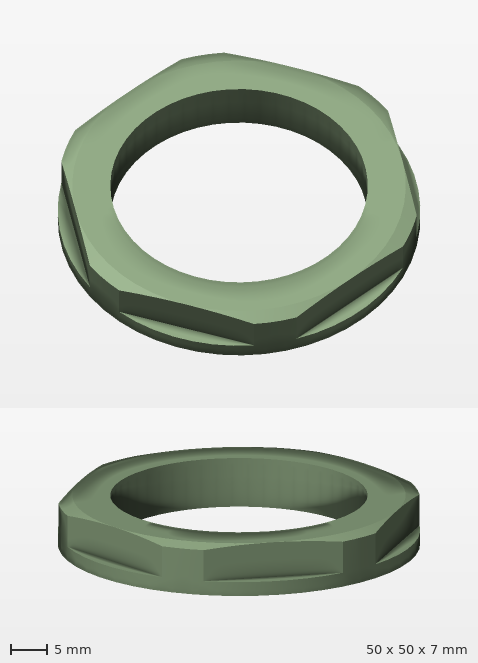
import cadquery as cq
import math

outer_diameter = 50.0
total_height = 7.0
flange_height = 2.0
across_flats = 46.0
bore_diameter = 35.5
chamfer_angle = 15.0

outer_radius = outer_diameter / 2
flat_radius = across_flats / 2
chamfer_drop = (outer_radius - flat_radius) * math.tan(math.radians(chamfer_angle))
across_corners = across_flats / math.cos(math.radians(30))


def chamfered_blank():
    """Round blank whose conical top edge starts at the inscribed circle of the hexagon."""
    profile = [
        (0, 0),
        (outer_radius, 0),
        (outer_radius, total_height - chamfer_drop),
        (flat_radius, total_height),
        (0, total_height),
    ]
    return cq.Workplane("XZ").polyline(profile).close().revolve(360, (0, 0), (0, 1))


def flange_and_hexagon():
    """Round flange with a hexagon above it, two of its flats facing along Y."""
    flange = cq.Workplane("XY").circle(outer_radius).extrude(flange_height)
    hexagon = cq.Workplane("XY").polygon(6, across_corners).extrude(total_height)
    return flange.union(hexagon)


nut = chamfered_blank().intersect(flange_and_hexagon())

bore = cq.Workplane("XY").circle(bore_diameter / 2).extrude(total_height)
result = nut.cut(bore)